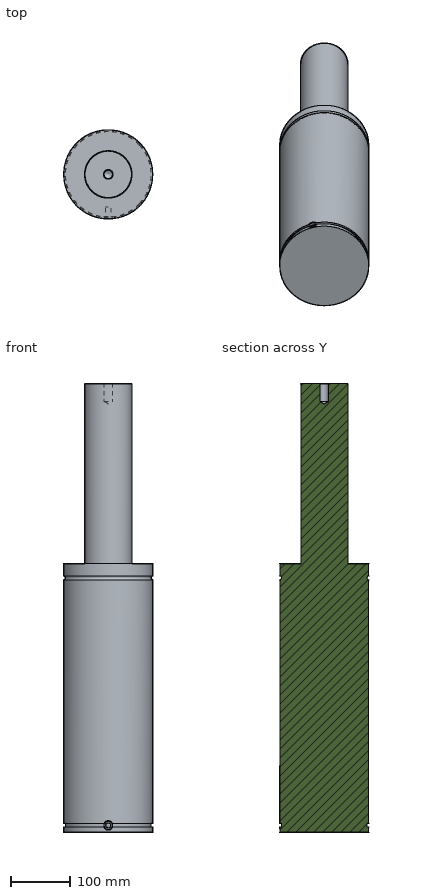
import math

import cadquery as cq

TOTAL_LENGTH = 755.0
BODY_LENGTH = 452.0
BODY_RADIUS = 150.0 / 2
ROD_RADIUS = 80.0 / 2
ROD_EDGE_CHAMFER = 1.0

BASE_GROOVE_BOTTOM = 9.0
BASE_GROOVE_WIDTH = 6.0
BASE_GROOVE_DEPTH = 3.0

TOP_GROOVE_OFFSET = 24.0
TOP_GROOVE_RADIUS = 3.5
TOP_GROOVE_DEPTH = 2.5

ROD_HOLE_RADIUS = 14.0 / 2
ROD_HOLE_MOUTH_RADIUS = 16.0 / 2
ROD_HOLE_DEPTH = 30.0
DRILL_POINT_ANGLE = 118.0

PORT_HEIGHT = 11.7
PORT_MOUTH_RADIUS = 16.0 / 2
PORT_SEAT_RADIUS = 14.0 / 2
PORT_SEAT_DEPTH = 4.5
PORT_HOLE_RADIUS = 8.5 / 2
PORT_HOLE_DEPTH = 20.0


def make_body():
    """Plain cylindrical body standing on the XY plane."""
    return cq.Workplane("XY").circle(BODY_RADIUS).extrude(BODY_LENGTH)


def make_rod():
    """Piston rod, running from the body top to the full length."""
    rod = cq.Workplane("XY", origin=(0, 0, BODY_LENGTH))
    rod = rod.circle(ROD_RADIUS).extrude(TOTAL_LENGTH - BODY_LENGTH)
    return rod.faces(">Z").edges().chamfer(ROD_EDGE_CHAMFER)


def make_base_groove():
    """Ring that cuts the square groove around the body."""
    outer_radius = BODY_RADIUS + BASE_GROOVE_DEPTH
    inner_radius = BODY_RADIUS - BASE_GROOVE_DEPTH
    ring = cq.Workplane("XY", origin=(0, 0, BASE_GROOVE_BOTTOM))
    return ring.circle(outer_radius).circle(inner_radius).extrude(BASE_GROOVE_WIDTH)


def make_top_groove():
    """Torus that cuts the round-bottomed groove around the body."""
    ring_radius = BODY_RADIUS - TOP_GROOVE_DEPTH + TOP_GROOVE_RADIUS
    height = BODY_LENGTH - TOP_GROOVE_OFFSET
    section = cq.Workplane("XZ").center(ring_radius, height).circle(TOP_GROOVE_RADIUS)
    return section.revolve(360, (-ring_radius, 0), (-ring_radius, 1))


def make_rod_hole():
    """Drilled hole with a 45 degree mouth and a conical bottom."""
    mouth_depth = ROD_HOLE_MOUTH_RADIUS - ROD_HOLE_RADIUS
    point_length = ROD_HOLE_RADIUS / math.tan(math.radians(DRILL_POINT_ANGLE / 2))
    floor = TOTAL_LENGTH - ROD_HOLE_DEPTH
    half_section = [
        (0, TOTAL_LENGTH),
        (ROD_HOLE_MOUTH_RADIUS, TOTAL_LENGTH),
        (ROD_HOLE_RADIUS, TOTAL_LENGTH - mouth_depth),
        (ROD_HOLE_RADIUS, floor),
        (0, floor - point_length),
    ]
    return cq.Workplane("XZ").polyline(half_section).close().revolve(360, (0, 0), (0, 1))


def make_port():
    """Radial hole: a 45 degree mouth, a flat seat and a narrower flat-bottomed hole."""
    surface = -BODY_RADIUS
    mouth_depth = PORT_MOUTH_RADIUS - PORT_SEAT_RADIUS
    half_section = [
        (0, surface),
        (PORT_MOUTH_RADIUS, surface),
        (PORT_SEAT_RADIUS, surface + mouth_depth),
        (PORT_SEAT_RADIUS, surface + PORT_SEAT_DEPTH),
        (PORT_HOLE_RADIUS, surface + PORT_SEAT_DEPTH),
        (PORT_HOLE_RADIUS, surface + PORT_HOLE_DEPTH),
        (0, surface + PORT_HOLE_DEPTH),
    ]
    section = cq.Workplane("XY", origin=(0, 0, PORT_HEIGHT)).polyline(half_section).close()
    return section.revolve(360, (0, 0), (0, 1))


result = (
    make_body()
    .union(make_rod())
    .cut(make_base_groove())
    .cut(make_top_groove())
    .cut(make_rod_hole())
    .cut(make_port())
)